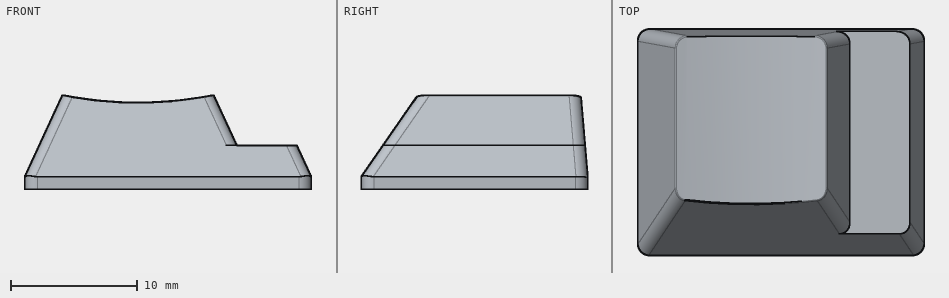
import cadquery as cq

key_size = 18.0
step_extension = 4.76
total_width = key_size + step_extension

skirt_height = 1.0
step_height = 3.5
rim_height = 7.5

side_inset = 3.0
front_inset = 4.5
back_inset = 0.55

corner_radius = 1.0
rim_radius = 0.1

rim_width = key_size - 2 * side_inset
dish_depth = 0.6
dish_radius = (rim_width**2 / 4 + dish_depth**2) / (2 * dish_depth)

left = -total_width / 2
front = -key_size / 2
tower_center_x = left + key_size / 2


def tapered_profile(plane, start, length, start_inset, end_inset, top_height):
    """Trapezoid on a vertical plane whose sides span the given length at the top of the skirt."""
    slope_height = rim_height - skirt_height
    drop = -skirt_height / slope_height
    rise = (top_height - skirt_height) / slope_height
    end = start + length
    return (
        cq.Workplane(plane)
        .moveTo(start + start_inset * drop, 0)
        .lineTo(end - end_inset * drop, 0)
        .lineTo(end - end_inset * rise, top_height)
        .lineTo(start + start_inset * rise, top_height)
        .close()
    )


def tapered_body(width, top_height):
    """Pyramid frustum with its four slanted corners rounded."""
    across = tapered_profile("XZ", left, width, side_inset, side_inset, top_height)
    along = tapered_profile("YZ", front, key_size, front_inset, back_inset, top_height)
    across_bar = across.extrude(2 * key_size, both=True)
    along_bar = along.extrude(2 * total_width, both=True)
    return across_bar.intersect(along_bar).edges("not(#Z)").fillet(corner_radius)


def upright_body(width, top_height):
    """Straight-sided footprint of the key with its four upright corners rounded."""
    return (
        cq.Workplane()
        .box(width, key_size, top_height, centered=False)
        .translate((left, front, 0))
        .edges("|Z")
        .fillet(corner_radius)
    )


def keycap_block(width, top_height):
    """Flat-topped block: upright skirt below, tapered sides above."""
    return upright_body(width, top_height).intersect(tapered_body(width, top_height))


def dish():
    """Cylinder that hollows the top of the tower."""
    return (
        cq.Workplane("XZ")
        .center(tower_center_x, rim_height - dish_depth + dish_radius)
        .circle(dish_radius)
        .extrude(key_size, both=True)
    )


def dished_tower():
    """Tall block with the dish cut into its top and a softly rounded rim."""
    tower = keycap_block(key_size, rim_height).cut(dish())
    return tower.faces(">Z").edges().fillet(rim_radius)


step = keycap_block(total_width, step_height)
result = dished_tower().union(step)